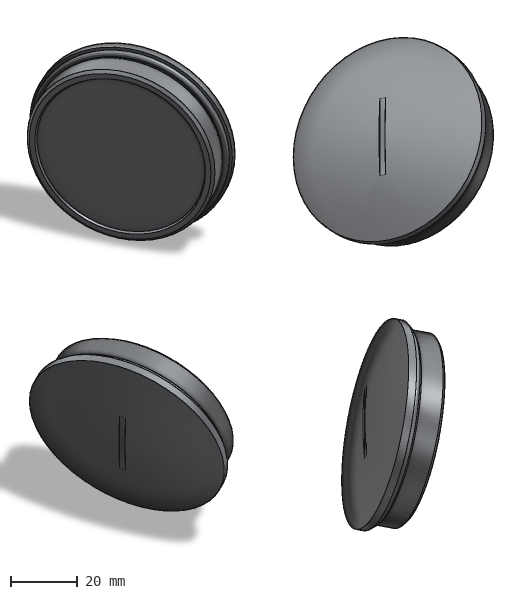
import cadquery as cq

height = 16.0
flange_radius = 32.0
flange_front = 10.0
flange_back = 12.5

plug_radius = 29.665
plug_chamfer_radial = 0.95
plug_chamfer_length = 0.9
plug_back = 7.7
neck_start = 8.3
neck_radius = plug_radius - (neck_start - plug_back)

ring_outer_radius = 31.2
ring_section_radius = 1.0
ring_center_radius = ring_outer_radius - ring_section_radius
ring_inner_radius = ring_center_radius - ring_section_radius
ring_center_y = neck_start + ring_section_radius
ring_back_offset = flange_front - ring_center_y
ring_back_radius = ring_center_radius + (ring_section_radius**2 - ring_back_offset**2) ** 0.5

recess_mouth_radius = 26.95
recess_floor_radius = 26.5
recess_depth = 0.8

slot_width = 2.0
slot_depth = 0.5
slot_overshoot = 0.65

dome_rise = height - flange_back
dome_radius = (flange_radius**2 + dome_rise**2) / (2 * dome_rise)
dome_center_y = height - dome_radius
dome_mid_x = flange_radius / 2
dome_mid_y = dome_center_y + (dome_radius**2 - dome_mid_x**2) ** 0.5


def make_body():
    profile = (
        cq.Workplane("XY")
        .moveTo(0, recess_depth)
        .lineTo(recess_floor_radius, recess_depth)
        .lineTo(recess_mouth_radius, 0)
        .lineTo(plug_radius - plug_chamfer_radial, 0)
        .lineTo(plug_radius, plug_chamfer_length)
        .lineTo(plug_radius, plug_back)
        .lineTo(neck_radius, neck_start)
        .lineTo(neck_radius, ring_center_y)
        .lineTo(ring_inner_radius, ring_center_y)
        .threePointArc((ring_center_radius, neck_start), (ring_back_radius, flange_front))
        .lineTo(flange_radius, flange_front)
        .lineTo(flange_radius, flange_back)
        .threePointArc((dome_mid_x, dome_mid_y), (0, height))
    )
    return profile.close().revolve(360, (0, 0, 0), (0, 1, 0))


def make_slot():
    cutter_height = slot_depth + slot_overshoot
    cutter = cq.Workplane("XY").box(slot_width, cutter_height, 2 * flange_radius)
    return cutter.translate((0, height - slot_depth + cutter_height / 2, 0))


result = make_body().cut(make_slot())